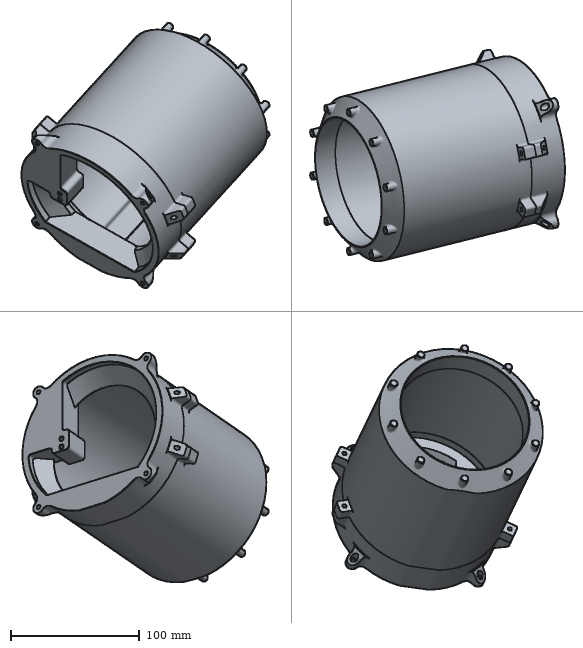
import cadquery as cq
import math

length = 157.2
outer_radius = 66.0
bottom_flat_z = -64.9
split_y = 30.0
bore_radius = 60.0

opening_depth = 5.8
taper_end_y = 17.5
web_depth = 22.0
throat_half_width = 47.8
throat_half_height = 50.6
throat_center_z = -3.1
bottom_web_z = -42.3
corner_radius = 2.5
front_chamfer = 0.3

plate_right_x = -28.1
plate_bottom_z = -2.0
pad_left_x = -38.2
pad_right_x = -22.0
pad_bottom_z = -7.5
pad_top_z = 10.2
pad_hole_x = -28.9
pad_hole_heights = (3.3, -3.8)
pad_hole_diameter = 3.5

ear_half_width = 5.0
lug_angles = (45, 135, 225, 315)
lug_hole_radius = 71.5
lug_length = 14.0
lug_bevel_radius = 67.0
lug_root_fillet = 5.0
lug_hole_diameter = 3.5
lug_counterbore_diameter = 5.2
lug_counterbore_floor_y = 5.0
tab_angles = (20, 160, 200, 340)
tab_hole_radius = 70.9
tab_start_y = 15.0
tab_end_y = 39.9
tab_bevel_radius = 66.5
tab_root_fillet = 2.0
tab_corner_radius = 1.9
tab_hole_diameter = 3.3

cone_start_y = 145.0
cone_end_radius = 52.2
rear_opening_diameter = 103.0
wall = outer_radius - bore_radius
flange_y = cone_start_y - wall
channel_floor_z = -63.8
channel_edge_radius = 2.5

pin_count = 10
pin_diameter = 6.0
pin_circle_radius = 60.0
pin_base_fillet = 1.5
pin_tip_chamfer = 0.4


def at_y(y):
    """Sketch plane facing the front, with local axes along X and Z."""
    return cq.Workplane("XZ", origin=(0, y, 0))


def cylinder(radius, start_y, end_y, x=0.0, z=0.0):
    return at_y(start_y).center(x, z).circle(radius).extrude(start_y - end_y)


def polar(radius, degrees):
    """X and Z of a point around the barrel axis."""
    angle = math.radians(degrees)
    return radius * math.cos(angle), radius * math.sin(angle)


def turned(body, degrees):
    """Body turned around the barrel axis, from +X towards +Z."""
    return body.rotate((0, 0, 0), (0, 1, 0), -degrees)


def slab(start_y, end_y):
    """Block wider than the part, between two planes across the axis."""
    size = 2 * length
    return at_y(start_y).rect(size, size).extrude(start_y - end_y)


def below(z):
    """Block that covers everything lower than z."""
    size = 2 * length
    return cq.Workplane("XY", origin=(0, 0, z)).rect(size, size).extrude(-length)


def ear(tip_radius, tip_corner_radius, root_fillet, start_y, end_y):
    """Ear along +X with rounded tip corners and fillets into the barrel."""
    fillet_v = ear_half_width + root_fillet
    fillet_reach = outer_radius + root_fillet
    fillet_u = math.sqrt(fillet_reach**2 - fillet_v**2)
    root_u = fillet_u * outer_radius / fillet_reach
    root_v = fillet_v * outer_radius / fillet_reach
    side_angle = -math.pi / 2
    axis_angle = -math.pi + math.atan2(fillet_v, fillet_u)
    mid_angle = (side_angle + axis_angle) / 2
    mid_u = fillet_u + root_fillet * math.cos(mid_angle)
    mid_v = fillet_v + root_fillet * math.sin(mid_angle)
    inner_u = (bore_radius + outer_radius) / 2
    corner_u = tip_radius - tip_corner_radius
    corner_v = ear_half_width - tip_corner_radius
    diagonal = tip_corner_radius * math.sqrt(0.5)
    outline = (
        at_y(start_y)
        .moveTo(inner_u, -root_v)
        .lineTo(root_u, -root_v)
        .threePointArc((mid_u, -mid_v), (fillet_u, -ear_half_width))
        .lineTo(corner_u, -ear_half_width)
        .threePointArc((corner_u + diagonal, -corner_v - diagonal), (tip_radius, -corner_v))
    )
    if corner_v > 0:
        outline = outline.lineTo(tip_radius, corner_v)
    outline = (
        outline.threePointArc((corner_u + diagonal, corner_v + diagonal), (corner_u, ear_half_width))
        .lineTo(fillet_u, ear_half_width)
        .threePointArc((mid_u, mid_v), (root_u, root_v))
        .lineTo(inner_u, root_v)
        .close()
    )
    return outline.extrude(start_y - end_y)


def bevel(start_radius, edge_y, direction):
    """45 degree wedge that trims an ear; direction is the Y sense of the trimmed end."""
    reach = outer_radius / 2
    tip = (start_radius + reach, edge_y - direction * reach)
    corner = (start_radius + reach, edge_y)
    return (
        cq.Workplane("XY")
        .polyline([(start_radius, edge_y), tip, corner])
        .close()
        .extrude(outer_radius, both=True)
    )


def lug():
    """Round bolting lug at the front, counterbored from its bevelled rear."""
    body = ear(lug_hole_radius + ear_half_width, ear_half_width, lug_root_fillet, 0, lug_length)
    hole = cylinder(lug_hole_diameter / 2, 0, lug_length, lug_hole_radius)
    counterbore = cylinder(
        lug_counterbore_diameter / 2, lug_counterbore_floor_y, lug_length, lug_hole_radius
    )
    return body.cut(bevel(lug_bevel_radius, lug_length, 1)).cut(hole).cut(counterbore)


def tab():
    """Bolting tab that spans the split; each body keeps its own part of it."""
    body = ear(
        tab_hole_radius + ear_half_width, tab_corner_radius, tab_root_fillet, tab_start_y, tab_end_y
    )
    hole = cylinder(tab_hole_diameter / 2, tab_start_y, tab_end_y, tab_hole_radius)
    return body.cut(bevel(tab_bevel_radius, tab_start_y, -1)).cut(hole)


def corner_plate(depth):
    """L-edged plate with a small pad at its inner corner, reaching past the barrel."""
    outline = [
        (plate_right_x, outer_radius),
        (plate_right_x, pad_top_z),
        (pad_right_x, pad_top_z),
        (pad_right_x, pad_bottom_z),
        (pad_left_x, pad_bottom_z),
        (pad_left_x, plate_bottom_z),
        (-outer_radius, plate_bottom_z),
        (-outer_radius, outer_radius),
    ]
    plate = at_y(0).polyline(outline).close().extrude(-depth)
    pad_zone = cq.selectors.BoxSelector(
        (pad_left_x - 1.5, -1.5, pad_bottom_z - 1.5), (pad_right_x + 1.5, depth + 1.5, pad_top_z + 1.5)
    )
    return plate.edges("|Y").edges(pad_zone).fillet(corner_radius)


def opening(depth):
    """Round opening, less the corner plate and the bottom web."""
    tool = cylinder(bore_radius, 0, depth).cut(below(bottom_web_z)).cut(corner_plate(depth))
    top_corner = (plate_right_x, math.sqrt(bore_radius**2 - plate_right_x**2))
    side_corner = (-math.sqrt(bore_radius**2 - plate_bottom_z**2), plate_bottom_z)
    for x, z in (top_corner, side_corner):
        tool = tool.edges(cq.selectors.NearestToPointSelector((x, depth / 2, z))).fillet(corner_radius)
    return tool


def throat_section(y, half_width, half_height, center_z):
    """Elliptical wire across the axis, with its seam at the bottom."""
    plane = cq.Plane(origin=(0, y, center_z), xDir=(0, 0, -1), normal=(0, -1, 0))
    return cq.Workplane(plane).ellipse(half_height, half_width).wires().val()


def throat():
    """Taper from the round opening to an oval, then a flare to a circle at the web's rear face."""
    rear_radius = rear_opening_diameter / 2
    entry = throat_section(opening_depth, bore_radius, bore_radius, 0)
    oval = throat_section(taper_end_y, throat_half_width, throat_half_height, throat_center_z)
    exit_circle = throat_section(web_depth, rear_radius, rear_radius, 0)
    taper = cq.Solid.makeLoft([entry, oval])
    flare = cq.Solid.makeLoft([oval, exit_circle])
    return cq.Workplane(taper).union(cq.Workplane(flare))


def front_ring():
    body = cylinder(outer_radius, 0, split_y).cut(below(bottom_flat_z))
    body = body.cut(opening(opening_depth))
    for z in pad_hole_heights:
        body = body.cut(cylinder(pad_hole_diameter / 2, 0, web_depth, pad_hole_x, z))
    body = body.faces("<Y").edges().chamfer(front_chamfer)
    body = body.cut(throat().intersect(opening(web_depth)))
    body = body.cut(cylinder(bore_radius, web_depth, split_y))
    for angle in lug_angles:
        body = body.union(turned(lug(), angle))
    front_tab = tab().intersect(slab(0, split_y))
    for angle in tab_angles:
        body = body.union(turned(front_tab, angle))
    return body


def bottom_channel():
    """Channel along the bottom of the bore with S-shaped sides."""
    middle_z = channel_floor_z + channel_edge_radius
    edge_reach = bore_radius + channel_edge_radius
    edge_center_x = math.sqrt(edge_reach**2 - middle_z**2)
    edge = edge_center_x * bore_radius / edge_reach
    edge_z = middle_z * bore_radius / edge_reach
    middle = edge_center_x - channel_edge_radius
    floor = middle - channel_edge_radius
    diagonal = channel_edge_radius * math.sqrt(0.5)
    lower = (floor + diagonal, middle_z - diagonal)
    upper = (edge_center_x - diagonal, middle_z + diagonal)
    outline = (
        at_y(split_y)
        .moveTo(-floor, channel_floor_z)
        .lineTo(floor, channel_floor_z)
        .threePointArc(lower, (middle, middle_z))
        .threePointArc(upper, (edge, edge_z))
        .lineTo(-edge, edge_z)
        .threePointArc((-upper[0], upper[1]), (-middle, middle_z))
        .threePointArc((-lower[0], lower[1]), (-floor, channel_floor_z))
        .close()
    )
    return outline.extrude(split_y - flange_y)


def rear_blank():
    """Turned outside of the shell with the conical rear end."""
    profile = [
        (0, split_y),
        (outer_radius, split_y),
        (outer_radius, cone_start_y),
        (cone_end_radius, length),
        (0, length),
    ]
    blank = cq.Workplane("XY").polyline(profile).close().revolve(360, (0, 0, 0), (0, 1, 0))
    return blank.cut(below(bottom_flat_z))


def add_pins(body):
    """Ring of pins standing on the cone, each with a chamfered tip and a filleted base."""
    for index in range(pin_count):
        x, z = polar(pin_circle_radius, 90 + index * 360 / pin_count)
        pin = cylinder(pin_diameter / 2, cone_start_y, length, x, z)
        pin = pin.faces(">Y").edges().chamfer(pin_tip_chamfer)
        body = body.union(pin)
        cone_slope = (length - cone_start_y) / (outer_radius - cone_end_radius)
        base_y = cone_start_y + (outer_radius - pin_circle_radius) * cone_slope
        reach = pin_diameter / 2 + pin_tip_chamfer
        base_zone = cq.selectors.BoxSelector(
            (x - reach, base_y - reach, z - reach), (x + reach, base_y + reach, z + reach), True
        )
        body = body.edges(base_zone).fillet(pin_base_fillet)
    return body


def rear_shell():
    body = add_pins(rear_blank())
    body = body.cut(cylinder(bore_radius, split_y, flange_y))
    body = body.cut(cylinder(rear_opening_diameter / 2, flange_y, length))
    body = body.cut(bottom_channel())
    rear_tab = tab().intersect(slab(split_y, length))
    for angle in tab_angles:
        body = body.union(turned(rear_tab, angle))
    return body


ring = front_ring()
shell = rear_shell()
result = cq.Compound.makeCompound([ring.val(), shell.val()])